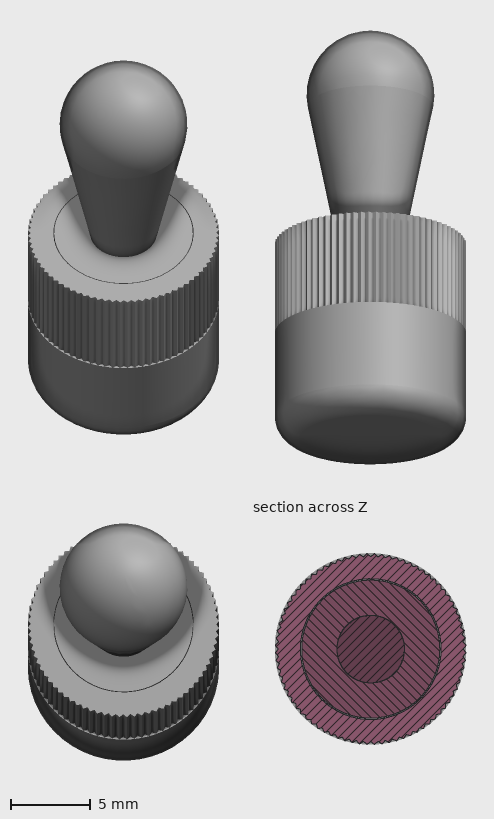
import cadquery as cq
import math

total_height = 26.9

housing_diameter = 12.0
housing_height = 13.0
bottom_fillet = 1.5
housing_radius = housing_diameter / 2
knurl_height = housing_diameter / 2
base_height = housing_height - knurl_height

groove_count = 80
groove_depth = 0.2
groove_pitch_angle = 2 * math.pi / groove_count

recess_diameter = 8.8
disc_gap = 0.05
disc_thickness = 1.5
disc_diameter = recess_diameter - 2 * disc_gap
recess_floor = housing_height - disc_thickness

ball_radius = 4.0
neck_radius = 2.1
ball_centre = total_height - ball_radius


def polar_point(radius, angle):
    return (radius * math.cos(angle), radius * math.sin(angle))


def make_knurl():
    """Knurled band: saw-tooth outline with tips on the housing radius and grooves on the axes."""
    points = []
    for groove in range(groove_count):
        groove_angle = groove * groove_pitch_angle
        points.append(polar_point(housing_radius - groove_depth, groove_angle))
        points.append(polar_point(housing_radius, groove_angle + groove_pitch_angle / 2))
    outline = cq.Workplane("XY").workplane(offset=base_height).polyline(points).close()
    return outline.extrude(knurl_height)


def make_housing():
    """Round base joined to the knurled band, with a recess for the disc in the top."""
    base = cq.Workplane("XY").circle(housing_radius).extrude(base_height)
    base = base.faces("<Z").edges().fillet(bottom_fillet)
    recess = (
        cq.Workplane("XY")
        .workplane(offset=recess_floor)
        .circle(recess_diameter / 2)
        .extrude(disc_thickness)
    )
    return base.union(make_knurl()).cut(recess)


def make_disc():
    """Seal disc with a central hole for the neck of the pin."""
    return (
        cq.Workplane("XY")
        .workplane(offset=recess_floor)
        .circle(disc_diameter / 2)
        .circle(neck_radius)
        .extrude(disc_thickness)
    )


def make_pin():
    """Pin revolved about Z: straight neck in the disc, then a cone tangent to the ball."""
    rise = ball_centre - housing_height
    neck_edge_distance = math.hypot(neck_radius, rise)
    half_angle = math.asin(ball_radius / neck_edge_distance) - math.atan2(neck_radius, rise)

    tangent_x, tangent_drop = polar_point(ball_radius, -half_angle)
    middle_x, middle_rise = polar_point(ball_radius, math.pi / 4)
    profile = (
        cq.Workplane("YZ")
        .moveTo(0, recess_floor)
        .lineTo(neck_radius, recess_floor)
        .lineTo(neck_radius, housing_height)
        .lineTo(tangent_x, ball_centre + tangent_drop)
        .threePointArc((middle_x, ball_centre + middle_rise), (0, total_height))
        .close()
    )
    return profile.revolve(360, (0, 0, 0), (0, 1, 0))


housing = make_housing()
disc = make_disc()
pin = make_pin()

result = cq.Compound.makeCompound([housing.val(), disc.val(), pin.val()])